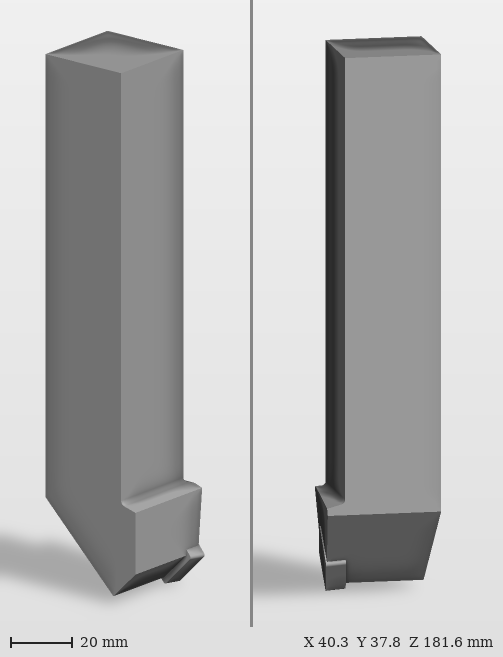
import cadquery as cq
import math

total_height = 181.5
shank_width = 31.8
head_width = 37.8
point_x = 28.5
point_z = 2.5
left_corner_z = 30.5
shoulder_outer_z = 32.9
shoulder_angle = 15.0
shoulder_fillet = 1.6
shoulder_inner_z = (
    shoulder_outer_z + (head_width - shank_width) * math.tan(math.radians(shoulder_angle))
)

rake_angle = 7.7
rake_direction = cq.Vector(point_x, 0, point_z - left_corner_z).normalized()
rake_normal = (
    cq.Vector(0, math.cos(math.radians(rake_angle)), 0)
    + rake_direction * math.sin(math.radians(rake_angle))
)
rake_x_direction = rake_direction.cross(cq.Vector(0, 1, 0))
cutter_size = 181.5

insert_side = 15.8
insert_thickness = 6.5
insert_corner_radius = 0.9
insert_center = (29.6, 33.2, 10.7)


def rake_plane(origin):
    """Workplane in the raked face, with its normal pointing toward the rear."""
    return cq.Workplane(cq.Plane(origin=origin, xDir=rake_x_direction, normal=rake_normal))


def stepped_profile(lower_points):
    """Extrude a shank outline that steps out to the head over a sloped, filleted shoulder."""
    outline = [
        (0, total_height),
        (shank_width, total_height),
        (shank_width, shoulder_inner_z),
        (head_width, shoulder_outer_z),
    ] + lower_points
    corner = cq.selectors.BoxSelector(
        (shank_width - shoulder_fillet, -cutter_size, shoulder_inner_z - shoulder_fillet),
        (shank_width + shoulder_fillet, cutter_size, shoulder_inner_z + shoulder_fillet),
    )
    solid = cq.Workplane("XZ").polyline(outline).close().extrude(-head_width)
    return solid.edges("|Y").edges(corner).fillet(shoulder_fillet)


def make_insert():
    return (
        rake_plane(insert_center)
        .rect(insert_side, insert_side)
        .extrude(-insert_thickness)
        .edges(cq.selectors.ParallelDirSelector(rake_normal))
        .fillet(insert_corner_radius)
    )


def make_holder(insert):
    pointed_bottom = [
        (head_width, point_z + head_width - point_x),
        (point_x, point_z),
        (0, left_corner_z),
    ]
    flat_bottom = [(head_width, 0), (0, 0)]
    front_prism = stepped_profile(pointed_bottom)
    side_prism = (
        stepped_profile(flat_bottom)
        .mirror("YZ")
        .rotate((0, 0, 0), (0, 0, 1), -90)
    )
    holder = front_prism.intersect(side_prism)
    rake_cutter = (
        rake_plane((0, head_width, shoulder_outer_z))
        .rect(cutter_size, cutter_size)
        .extrude(cutter_size)
    )
    head_zone = cq.Workplane("XY").box(
        cutter_size, cutter_size, shoulder_inner_z, centered=(True, True, False)
    )
    return holder.cut(rake_cutter.intersect(head_zone)).cut(insert)


insert = make_insert()
holder = make_holder(insert)
result = cq.Compound.makeCompound([*holder.solids().vals(), *insert.solids().vals()])